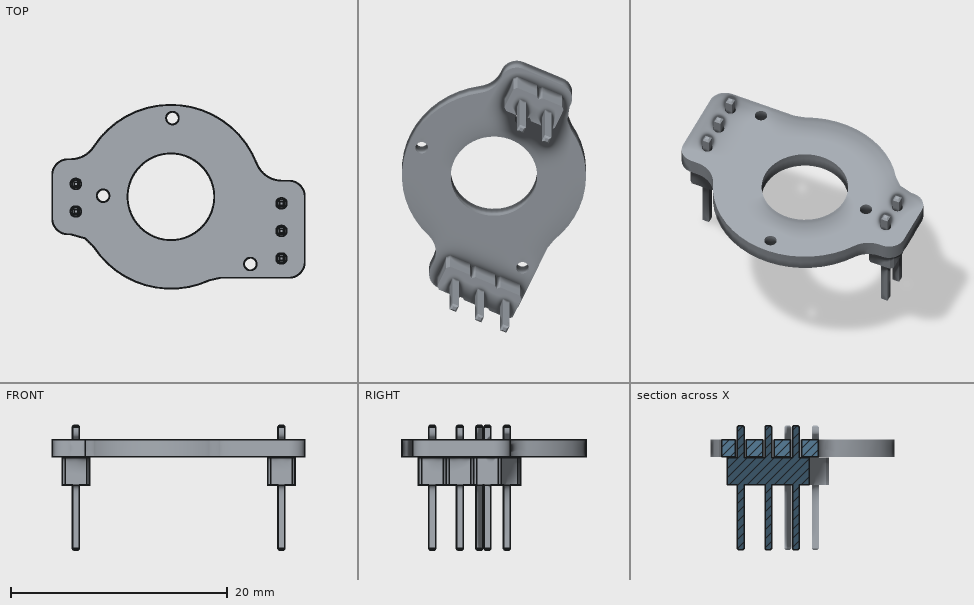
import cadquery as cq
import math


board_thickness = 1.6
ring_radius = 8.5
bore_diameter = 8.0
tab_corner_radius = 1.5
tab_blend_radius = 2.5

left_end_x = -10.98
left_tab_half_width = 3.48

board_length = 23.35
right_end_x = left_end_x + board_length
right_top_y = 1.5
right_bottom_y = -7.5

left_facet_corner = (-7.92, -3.85)
left_facet_ring_x = -7.12
right_facet_start_x = 4.55
right_facet_ring_x = 3.55

mounting_hole_diameter = 1.15
mounting_hole_centres = [(0.15, 7.26), (-6.25, 0.1), (7.34, -6.21)]
pin_hole_diameter = 1.0

pin_pitch = 2.55
pin_width = 0.65
pin_length = 11.55
pin_tip_chamfer = 0.16
pin_below_block = 6.0
block_height = pin_pitch
block_chamfer = 0.28
block_gap = 0.07

left_header = (-8.78, 1.2, 2)
right_header = (10.2, -0.6, 3)

block_top_z = -block_gap
block_bottom_z = block_top_z - block_height
pin_bottom_z = block_bottom_z - pin_below_block


def ring_point(x, side):
    """Point of the ring's rim at x, on its upper (side = 1) or lower (side = -1) half."""
    return (x, side * math.sqrt(ring_radius**2 - x**2))


def blend_points(edge_y, side):
    """Start, middle and end of the concave arc from the rim to a tab's upper edge.

    The tab lies to the right of the ring (side = 1) or to its left (side = -1).
    """
    centre_distance = ring_radius + tab_blend_radius
    centre_y = edge_y + tab_blend_radius
    centre_x = side * math.sqrt(centre_distance**2 - centre_y**2)
    on_rim = (centre_x * ring_radius / centre_distance, centre_y * ring_radius / centre_distance)
    on_edge = (centre_x, edge_y)

    rim_angle = math.atan2(-centre_y, -centre_x)
    edge_angle = -math.pi / 2
    middle_angle = (rim_angle + edge_angle) / 2
    middle = (
        centre_x + tab_blend_radius * math.cos(middle_angle),
        centre_y + tab_blend_radius * math.sin(middle_angle),
    )
    return on_rim, middle, on_edge


def pin_positions(header):
    row_x, first_y, pin_count = header
    return [(row_x, first_y - i * pin_pitch) for i in range(pin_count)]


def make_outline():
    left_rim, left_middle, left_edge = blend_points(left_tab_half_width, -1)
    right_rim, right_middle, right_edge = blend_points(right_top_y, 1)
    return (
        cq.Workplane("XY")
        .moveTo(*left_rim)
        .threePointArc((0, ring_radius), right_rim)
        .threePointArc(right_middle, right_edge)
        .lineTo(right_end_x, right_top_y)
        .lineTo(right_end_x, right_bottom_y)
        .lineTo(right_facet_start_x, right_bottom_y)
        .lineTo(*ring_point(right_facet_ring_x, -1))
        .threePointArc((0, -ring_radius), ring_point(left_facet_ring_x, -1))
        .lineTo(*left_facet_corner)
        .lineTo(left_edge[0], -left_tab_half_width)
        .lineTo(left_end_x, -left_tab_half_width)
        .lineTo(left_end_x, left_tab_half_width)
        .lineTo(*left_edge)
        .threePointArc(left_middle, left_rim)
        .close()
    )


def make_board():
    board = make_outline().extrude(board_thickness)
    board = board.edges("|Z and (<X or >X)").fillet(tab_corner_radius)

    bore = cq.Workplane("XY").circle(bore_diameter / 2).extrude(board_thickness)
    mounting_holes = (
        cq.Workplane("XY")
        .pushPoints(mounting_hole_centres)
        .circle(mounting_hole_diameter / 2)
        .extrude(board_thickness)
    )
    pin_holes = (
        cq.Workplane("XY")
        .pushPoints(pin_positions(left_header) + pin_positions(right_header))
        .circle(pin_hole_diameter / 2)
        .extrude(board_thickness)
    )
    return board.cut(bore).cut(mounting_holes).cut(pin_holes)


def make_pin(x, y):
    """Square pin with a chamfered tip at each end."""
    pin = cq.Workplane("XY").box(pin_width, pin_width, pin_length, centered=(True, True, False))
    pin = pin.faces(">Z").chamfer(pin_tip_chamfer)
    pin = pin.faces("<Z").chamfer(pin_tip_chamfer)
    return pin.translate((x, y, pin_bottom_z))


def make_block(x, y):
    """Square plastic block around one pin, with chamfered upright corners."""
    block = cq.Workplane("XY").box(pin_pitch, pin_pitch, block_height, centered=(True, True, False))
    return block.edges("|Z").chamfer(block_chamfer).translate((x, y, block_bottom_z))


def make_header(header):
    """Row of blocks joined side by side, with their pins, as one solid."""
    parts = []
    for x, y in pin_positions(header):
        parts.append(make_block(x, y))
        parts.append(make_pin(x, y))
    body = parts[0]
    for part in parts[1:]:
        body = body.union(part)
    return body


board = make_board()
headers = [make_header(header) for header in (left_header, right_header)]

result = cq.Compound.makeCompound([board.solids().val(), *[header.solids().val() for header in headers]])